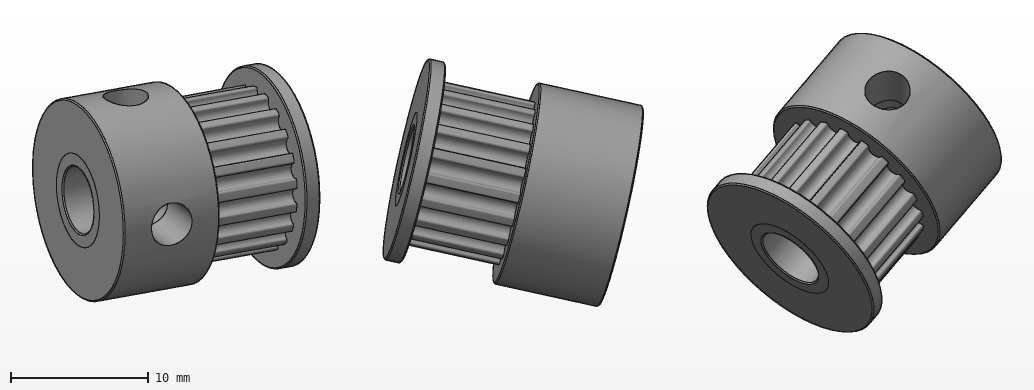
import cadquery as cq
import math

OVERALL_LENGTH = 16.0
HUB_LENGTH = 7.8
FLANGE_THICKNESS = 1.2
OUTER_RADIUS = 15.0 / 2
NECK_RADIUS = 7.0 / 2
BORE_RADIUS = 5.0 / 2
EDGE_CHAMFER = 0.1

SCREW_HOLE_DIAMETER = 3.3
SCREW_HOLE_Y = HUB_LENGTH / 2

TOOTH_COUNT = 20
BELT_PITCH = 2.0
PITCH_LINE_OFFSET = 0.254
TIP_RADIUS = TOOTH_COUNT * BELT_PITCH / (2 * math.pi) - PITCH_LINE_OFFSET
GROOVE_RADIUS = 0.555
GROOVE_DEPTH = 0.75
TIP_FILLET = 0.15
FIRST_GROOVE_ANGLE = -1.3

FLANGE_Y = OVERALL_LENGTH - FLANGE_THICKNESS
TOOTH_LENGTH = FLANGE_Y - HUB_LENGTH


def cylinder(radius, start_y, length):
    """Solid cylinder on the shaft axis, running toward +Y from start_y."""
    return cq.Workplane("XZ", origin=(0, start_y, 0)).circle(radius).extrude(-length)


def polar(radius, angle):
    """Section point at a radius and an angle in radians."""
    return (radius * math.cos(angle), radius * math.sin(angle))


def toothed_section():
    """Cross-section of the teeth: groove arcs and tip fillets, each tangent to the next."""
    groove_center = TIP_RADIUS - GROOVE_DEPTH + GROOVE_RADIUS
    fillet_center = TIP_RADIUS - TIP_FILLET
    center_distance = GROOVE_RADIUS + TIP_FILLET

    fillet_angle = math.acos(
        (groove_center**2 + fillet_center**2 - center_distance**2)
        / (2 * groove_center * fillet_center)
    )
    fillet_x, fillet_y = polar(fillet_center, fillet_angle)

    toward_x = (groove_center - fillet_x) / center_distance
    toward_y = -fillet_y / center_distance
    meet_x = fillet_x + TIP_FILLET * toward_x
    meet_y = fillet_y + TIP_FILLET * toward_y
    meet_radius = math.hypot(meet_x, meet_y)
    meet_angle = math.atan2(meet_y, meet_x)

    middle_direction = (fillet_angle + math.atan2(toward_y, toward_x)) / 2
    middle_x = fillet_x + TIP_FILLET * math.cos(middle_direction)
    middle_y = fillet_y + TIP_FILLET * math.sin(middle_direction)
    middle_radius = math.hypot(middle_x, middle_y)
    middle_angle = math.atan2(middle_y, middle_x)

    step = 2 * math.pi / TOOTH_COUNT
    first = math.radians(FIRST_GROOVE_ANGLE)
    section = cq.Workplane("XZ", origin=(0, HUB_LENGTH, 0))
    section = section.moveTo(*polar(TIP_RADIUS, first - fillet_angle))
    for index in range(TOOTH_COUNT):
        groove = first + index * step
        enter_middle = polar(middle_radius, groove - middle_angle)
        enter_end = polar(meet_radius, groove - meet_angle)
        bottom = polar(TIP_RADIUS - GROOVE_DEPTH, groove)
        leave_start = polar(meet_radius, groove + meet_angle)
        leave_middle = polar(middle_radius, groove + middle_angle)
        leave_end = polar(TIP_RADIUS, groove + fillet_angle)
        tip_middle = polar(TIP_RADIUS, groove + step / 2)
        tip_end = polar(TIP_RADIUS, groove + step - fillet_angle)
        section = section.threePointArc(enter_middle, enter_end)
        section = section.threePointArc(bottom, leave_start)
        section = section.threePointArc(leave_middle, leave_end)
        section = section.threePointArc(tip_middle, tip_end)
    return section.close()


def screw_holes():
    """Cutters for the two set-screw holes, running out from the axis toward +Z and +X."""
    radius = SCREW_HOLE_DIAMETER / 2
    center = (0, SCREW_HOLE_Y, 0)
    upper = cq.Workplane("XY", origin=center).circle(radius).extrude(OUTER_RADIUS)
    side = cq.Workplane("YZ", origin=center).circle(radius).extrude(OUTER_RADIUS)
    return upper.union(side)


def make_ring(start_y, length):
    """Ring around the core's neck, chamfered on both outer edges."""
    disc = cylinder(OUTER_RADIUS, start_y, length).faces("<Y or >Y").edges().chamfer(EDGE_CHAMFER)
    return disc.cut(cylinder(NECK_RADIUS, start_y, length))


def make_core():
    """Bored sleeve that carries the teeth between two plain necks."""
    core = cylinder(NECK_RADIUS, 0, OVERALL_LENGTH).union(toothed_section().extrude(-TOOTH_LENGTH))
    core = core.cut(cylinder(BORE_RADIUS, 0, OVERALL_LENGTH))
    bore_rims = core.faces("<Y or >Y").edges(cq.selectors.RadiusNthSelector(0))
    return bore_rims.chamfer(EDGE_CHAMFER).cut(screw_holes())


hub = make_ring(0, HUB_LENGTH).cut(screw_holes())
flange = make_ring(FLANGE_Y, FLANGE_THICKNESS)
core = make_core()

result = cq.Compound.makeCompound([hub.val(), core.val(), flange.val()])